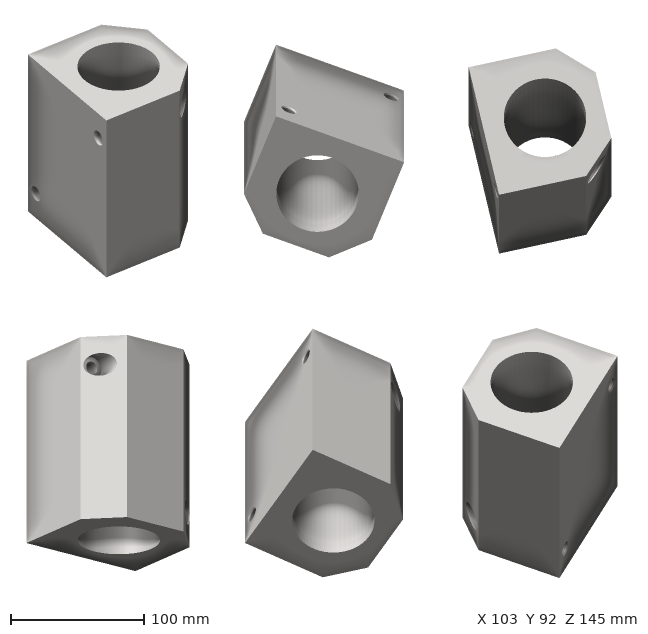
import cadquery as cq

width = 103.0
depth = 92.0
height = 145.0
corner_bevel = 25.0

bore_diameter = 61.8
bore_from_front = 47.0

hole_diameter = 10.2
hole_mouth_diameter = 12.0
hole_from_side = 10.5
hole_from_end = 22.5
counterbore_diameter = 18.0
counterbore_floor_from_back = 25.0

hole_x = width / 2 - hole_from_side
hole_z = height / 2 - hole_from_end
mouth_chamfer = (hole_mouth_diameter - hole_diameter) / 2


def make_block():
    """Bored block, centred in X and Z, with its front face at Y = 0."""
    block = cq.Workplane("XY").box(width, depth, height, centered=(True, False, True))
    block = block.edges("|Z and >Y").chamfer(corner_bevel)
    bore = cq.Workplane("XY").center(0, bore_from_front).circle(bore_diameter / 2).extrude(height, both=True)
    return block.cut(bore)


def mounting_hole_cutter(x, z):
    """Through hole with a chamfered front mouth and a counterbore from the back."""
    front = cq.Workplane("XZ").center(x, z)
    drill = front.circle(hole_diameter / 2).extrude(-depth)
    mouth = front.circle(hole_mouth_diameter / 2).extrude(-mouth_chamfer, taper=45)
    counterbore = (
        front.workplane(offset=-depth)
        .circle(counterbore_diameter / 2)
        .extrude(counterbore_floor_from_back)
    )
    return drill.union(mouth).union(counterbore)


result = make_block()
for side in (-1, 1):
    result = result.cut(mounting_hole_cutter(side * hole_x, side * hole_z))